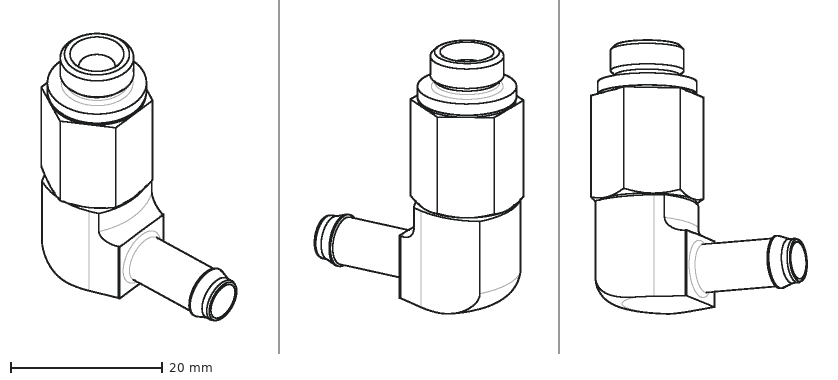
import cadquery as cq
import math

TOTAL_HEIGHT = 35.05
TOTAL_LENGTH = 28.55
HEX_ACROSS_FLATS = 13.0

BODY_TOP = 13.7
BODY_HALF_WIDTH = HEX_ACROSS_FLATS / 2
BODY_ARC_RADIUS = 10.75
BODY_FRONT_REACH = 6.4
BODY_END_X = 7.78
CHEEK_END_X = 7.55
CHEEK_TANGENT_ANGLE = 19.6
SHELF_Z = 8.87
SHELF_FILLET = 1.8
HEEL_RADIUS = 3.5

HEX_BOTTOM = 14.0
HEX_TOP = 28.25
HEX_CHAMFER_ANGLE = 30.0
JOINT_TOP_DIAMETER = 10.02
COLLAR_DIAMETER = 13.15
COLLAR_BOTTOM = 28.55
COLLAR_TOP = 30.18
THREAD_DIAMETER = 9.75
THREAD_BOTTOM = 31.72
NECK_DIAMETER = 8.55
NECK_FILLET = 0.5
THREAD_CHAMFER = 0.55

BARB_Z = 4.4
STEM_DIAMETER = 6.4
STEM_ROOT_FILLET = 0.6
BARB_DIAMETER = 7.0
STEM_END_X = 18.9
BARB_START_X = 19.05
BARB_LAND = 0.2
CONE_END_X = 20.85
TIP_DIAMETER = 5.9
TIP_END_X = TOTAL_LENGTH - COLLAR_DIAMETER / 2
TIP_CHAMFER_LENGTH = 0.3
TIP_CHAMFER_DEPTH = 0.15

MAIN_BORE_DIAMETER = 4.8
COUNTERSINK_DIAMETER = 7.15
COUNTERSINK_HALF_ANGLE = 30.0
BARB_BORE_DIAMETER = 4.9


def tangent_to_axis_arc(center_x, center_z, radius):
    """Point at 45 degrees down and toward the axis on a concave corner arc."""
    offset = radius * math.sqrt(0.5)
    return center_x - offset, center_z - offset


def circle_crossing(offset):
    """Y where the heel arc meets a side arc, both with centers this far from the axis."""
    return (-offset + math.sqrt(2 * BODY_ARC_RADIUS**2 - offset**2)) / 2


def make_body():
    center_offset = BODY_ARC_RADIUS - BODY_HALF_WIDTH
    corner = circle_crossing(center_offset)
    taper = math.radians(CHEEK_TANGENT_ANGLE)
    tangent_x = BODY_ARC_RADIUS * math.sin(taper)
    tangent_y = BODY_ARC_RADIUS * math.cos(taper) - center_offset
    end_y = tangent_y - (CHEEK_END_X - tangent_x) * math.tan(taper)
    body = (
        cq.Workplane("XY")
        .moveTo(-corner, -corner)
        .threePointArc((0, -BODY_HALF_WIDTH), (tangent_x, -tangent_y))
        .lineTo(CHEEK_END_X, -end_y)
        .lineTo(BODY_END_X, -end_y)
        .lineTo(BODY_END_X, end_y)
        .lineTo(CHEEK_END_X, end_y)
        .lineTo(tangent_x, tangent_y)
        .threePointArc((0, BODY_HALF_WIDTH), (-corner, corner))
        .threePointArc((-BODY_HALF_WIDTH, 0), (-corner, -corner))
        .close()
        .extrude(BODY_TOP)
    )
    return body.cut(make_shelf_cutter()).cut(make_heel_cutter(center_offset))


def make_shelf_cutter():
    """Ring outside the arc-shaped wall above the barb, with a concave foot."""
    axis_x = BODY_FRONT_REACH - BODY_ARC_RADIUS
    fillet_x = BODY_ARC_RADIUS + SHELF_FILLET
    fillet_z = SHELF_Z + SHELF_FILLET
    outer_radius = 2 * BODY_ARC_RADIUS
    ring = (
        cq.Workplane("XZ")
        .moveTo(BODY_ARC_RADIUS, BODY_TOP)
        .lineTo(BODY_ARC_RADIUS, fillet_z)
        .threePointArc(tangent_to_axis_arc(fillet_x, fillet_z, SHELF_FILLET), (fillet_x, SHELF_Z))
        .lineTo(outer_radius, SHELF_Z)
        .lineTo(outer_radius, BODY_TOP)
        .close()
        .revolve(360, (0, 0, 0), (0, 1, 0))
        .translate((axis_x, 0, 0))
    )
    front_half = cq.Workplane("XY").box(
        outer_radius, 2 * outer_radius, BODY_TOP, centered=(False, True, False)
    )
    return ring.intersect(front_half)


def make_heel_cutter(axis_x):
    """Ring outside the rounded lower edge of the arc-shaped heel."""
    fillet_x = BODY_ARC_RADIUS - HEEL_RADIUS
    diagonal = HEEL_RADIUS * math.sqrt(0.5)
    ring = (
        cq.Workplane("XZ")
        .moveTo(fillet_x, 0)
        .threePointArc((fillet_x + diagonal, HEEL_RADIUS - diagonal), (BODY_ARC_RADIUS, HEEL_RADIUS))
        .lineTo(BODY_ARC_RADIUS + HEEL_RADIUS, HEEL_RADIUS)
        .lineTo(BODY_ARC_RADIUS + HEEL_RADIUS, 0)
        .close()
        .revolve(360, (0, 0, 0), (0, 1, 0))
        .translate((axis_x, 0, 0))
    )
    rear_side = cq.Workplane("XY").box(
        2 * BODY_ARC_RADIUS, 2 * BODY_ARC_RADIUS, HEEL_RADIUS, centered=(False, True, False)
    ).translate((axis_x - 2 * BODY_ARC_RADIUS, 0, 0))
    return ring.intersect(rear_side)


def make_hexagon():
    corner_diameter = HEX_ACROSS_FLATS / math.cos(math.pi / 6)
    height = HEX_TOP - HEX_BOTTOM
    hexagon = (
        cq.Workplane("XY", origin=(0, 0, HEX_BOTTOM))
        .transformed(rotate=(0, 0, 90))
        .polygon(6, corner_diameter)
        .extrude(height)
    )
    flat_radius = HEX_ACROSS_FLATS / 2
    outer_radius = corner_diameter
    cone_rise = (outer_radius - flat_radius) * math.tan(math.radians(HEX_CHAMFER_ANGLE))
    envelope = (
        cq.Workplane("XZ")
        .moveTo(0, HEX_BOTTOM)
        .lineTo(flat_radius, HEX_BOTTOM)
        .lineTo(outer_radius, HEX_BOTTOM + cone_rise)
        .lineTo(outer_radius, HEX_TOP)
        .lineTo(0, HEX_TOP)
        .close()
        .revolve(360, (0, 0, 0), (0, 1, 0))
    )
    return hexagon.intersect(envelope)


def make_spigot():
    """Conical joint below the hexagon, relief, collar, undercut neck and thread."""
    thread_radius = THREAD_DIAMETER / 2
    neck_radius = NECK_DIAMETER / 2
    collar_radius = COLLAR_DIAMETER / 2
    joint_radius = JOINT_TOP_DIAMETER / 2
    relief_radius = HEX_ACROSS_FLATS / 2
    fillet_x = neck_radius + NECK_FILLET
    fillet_z = COLLAR_TOP + NECK_FILLET
    return (
        cq.Workplane("XZ")
        .moveTo(0, BODY_TOP)
        .lineTo(joint_radius - (HEX_BOTTOM - BODY_TOP), BODY_TOP)
        .lineTo(joint_radius, HEX_BOTTOM)
        .lineTo(joint_radius, HEX_TOP)
        .lineTo(relief_radius, HEX_TOP)
        .lineTo(relief_radius, COLLAR_BOTTOM)
        .lineTo(collar_radius, COLLAR_BOTTOM)
        .lineTo(collar_radius, COLLAR_TOP)
        .lineTo(fillet_x, COLLAR_TOP)
        .threePointArc(tangent_to_axis_arc(fillet_x, fillet_z, NECK_FILLET), (neck_radius, fillet_z))
        .lineTo(neck_radius, THREAD_BOTTOM - (thread_radius - neck_radius))
        .lineTo(thread_radius, THREAD_BOTTOM)
        .lineTo(thread_radius, TOTAL_HEIGHT - THREAD_CHAMFER)
        .lineTo(thread_radius - THREAD_CHAMFER, TOTAL_HEIGHT)
        .lineTo(0, TOTAL_HEIGHT)
        .close()
        .revolve(360, (0, 0, 0), (0, 1, 0))
    )


def make_barb():
    stem_radius = STEM_DIAMETER / 2
    barb_radius = BARB_DIAMETER / 2
    tip_radius = TIP_DIAMETER / 2
    fillet_x = BODY_END_X + STEM_ROOT_FILLET
    fillet_r = stem_radius + STEM_ROOT_FILLET
    diagonal = STEM_ROOT_FILLET * math.sqrt(0.5)
    return (
        cq.Workplane("XZ", origin=(0, 0, BARB_Z))
        .moveTo(0, 0)
        .lineTo(0, stem_radius)
        .lineTo(BODY_END_X, stem_radius)
        .lineTo(BODY_END_X, fillet_r)
        .threePointArc((fillet_x - diagonal, fillet_r - diagonal), (fillet_x, stem_radius))
        .lineTo(STEM_END_X, stem_radius)
        .lineTo(BARB_START_X, barb_radius)
        .lineTo(BARB_START_X + BARB_LAND, barb_radius)
        .lineTo(CONE_END_X, tip_radius)
        .lineTo(TIP_END_X - TIP_CHAMFER_LENGTH, tip_radius)
        .lineTo(TIP_END_X, tip_radius - TIP_CHAMFER_DEPTH)
        .lineTo(TIP_END_X, 0)
        .close()
        .revolve(360, (0, 0, 0), (1, 0, 0))
    )


def make_bores():
    """Vertical bore with a conical mouth, meeting the barb bore at its flat floor."""
    bore_radius = MAIN_BORE_DIAMETER / 2
    mouth_radius = COUNTERSINK_DIAMETER / 2
    floor_z = BARB_Z - BARB_BORE_DIAMETER / 2
    mouth_depth = (mouth_radius - bore_radius) / math.tan(math.radians(COUNTERSINK_HALF_ANGLE))
    vertical = (
        cq.Workplane("XZ")
        .moveTo(0, floor_z)
        .lineTo(bore_radius, floor_z)
        .lineTo(bore_radius, TOTAL_HEIGHT - mouth_depth)
        .lineTo(mouth_radius, TOTAL_HEIGHT)
        .lineTo(0, TOTAL_HEIGHT)
        .close()
        .revolve(360, (0, 0, 0), (0, 1, 0))
    )
    horizontal = (
        cq.Workplane("YZ", origin=(0, 0, BARB_Z))
        .circle(BARB_BORE_DIAMETER / 2)
        .extrude(TIP_END_X)
    )
    return vertical.union(horizontal)


solid_fitting = make_body().union(make_hexagon()).union(make_spigot()).union(make_barb())
result = solid_fitting.cut(make_bores())